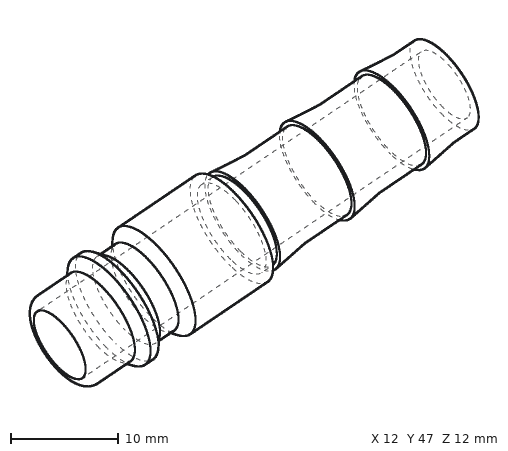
import cadquery as cq
import math

length = 47.0
tip_y = -length / 2
tail_y = length / 2

bore_radius = 3.75
body_radius = 5.0
groove_radius = 4.9
collar_radius = 6.0
barb_radius = 5.45

tip_fillet = 1.0
ring_start = 5.0
ring_width = 1.0
collar_start = 10.4
collar_end = 21.0

barb_count = 3
barb_pitch = 9.1
barb_length = 3.9
first_barb_crest = 6.45


def add_barb(profile, crest_y):
    """Step out to a barb crest, then taper down towards the tail."""
    return (
        profile.lineTo(body_radius, crest_y)
        .lineTo(barb_radius, crest_y)
        .lineTo(body_radius, crest_y + barb_length)
    )


def plug_profile():
    """Rounded tip, locking ring, groove and collar, as (radius, y)."""
    ring_y = tip_y + ring_start
    ring_slope = collar_radius - body_radius
    groove_slope = collar_radius - groove_radius
    ring_end = ring_y + ring_slope + ring_width
    fillet_bulge = tip_fillet * math.sqrt(0.5)
    return (
        cq.Workplane("XY")
        .moveTo(bore_radius, tip_y)
        .lineTo(body_radius - tip_fillet, tip_y)
        .threePointArc(
            (body_radius - tip_fillet + fillet_bulge, tip_y + tip_fillet - fillet_bulge),
            (body_radius, tip_y + tip_fillet),
        )
        .lineTo(body_radius, ring_y)
        .lineTo(collar_radius, ring_y + ring_slope)
        .lineTo(collar_radius, ring_end)
        .lineTo(groove_radius, ring_end + groove_slope)
        .lineTo(groove_radius, tip_y + collar_start)
        .lineTo(collar_radius, tip_y + collar_start + groove_slope)
        .lineTo(collar_radius, tip_y + collar_end)
        .lineTo(body_radius, tip_y + collar_end)
    )


profile = plug_profile()
for index in reversed(range(barb_count)):
    profile = add_barb(profile, tail_y - first_barb_crest - index * barb_pitch)
profile = profile.lineTo(body_radius, tail_y).lineTo(bore_radius, tail_y).close()

full_turn = 360
result = profile.revolve(full_turn, (0, 0, 0), (0, 1, 0))